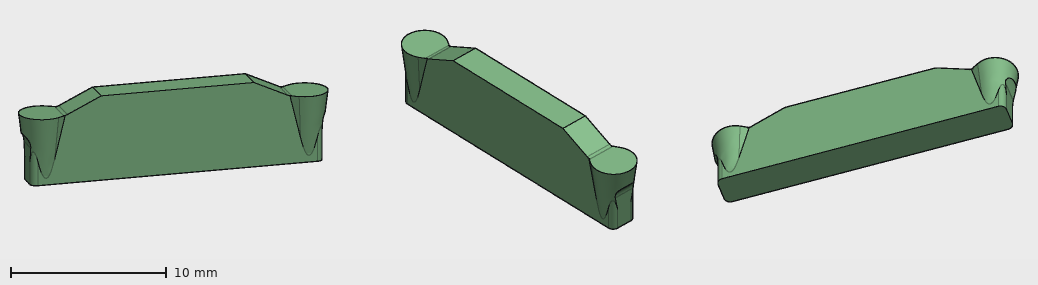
import cadquery as cq
import math

overall_length = 20.6
overall_height = 5.69

bar_width = 2.0
bar_length = 19.53
corner_radius = 0.41

ridge_half_length = 5.1
ramp_angle = 25.0
ramp_root_radius = 0.6

head_radius = 1.5
head_top = 4.57
head_draft = 7.0
neck_angle = 30.0

relief_start = 2.51
relief_radius = 1.0

bar_end = bar_length / 2
head_center = overall_length / 2 - head_radius


def make_bar():
    """Bar with rounded upright corners and a ramp up to the ridge from each end."""
    ramp_run = (overall_height - head_top) / math.tan(math.radians(ramp_angle))
    ramp_root = ridge_half_length + ramp_run
    side_profile = [
        (-bar_end, 0),
        (bar_end, 0),
        (bar_end, head_top),
        (ramp_root, head_top),
        (ridge_half_length, overall_height),
        (-ridge_half_length, overall_height),
        (-ramp_root, head_top),
        (-bar_end, head_top),
    ]
    bar = cq.Workplane("YZ").polyline(side_profile).close().extrude(bar_width / 2, both=True)
    bar = bar.edges("|Z").edges("<Y or >Y").fillet(corner_radius)

    def is_ramp_root(edge):
        return math.isclose(abs(edge.Center().y), ramp_root, abs_tol=2.06e-05)

    ramp_roots = [edge for edge in bar.edges("|X").vals() if is_ramp_root(edge)]
    return bar.newObject(ramp_roots).fillet(ramp_root_radius)


def make_head():
    """Tapered teardrop at the +Y end, round outside and narrowing tangentially into the bar."""
    angle = math.radians(neck_angle)
    tangent_x = head_radius * math.cos(angle)
    tangent_y = -head_radius * math.sin(angle)
    neck_tip = -head_radius / math.sin(angle)
    return (
        cq.Workplane("XY", origin=(0, head_center, head_top))
        .moveTo(tangent_x, tangent_y)
        .threePointArc((0, head_radius), (-tangent_x, tangent_y))
        .lineTo(0, neck_tip)
        .close()
        .extrude(-head_top, taper=head_draft)
    )


def make_relief():
    """Material removed beyond the bar end, with a concave arc running out under the head."""
    arc_center_y = bar_end + relief_radius
    arc_middle = relief_radius * math.sqrt(0.5)
    return (
        cq.Workplane("YZ")
        .moveTo(bar_end, 0)
        .lineTo(bar_end, relief_start)
        .threePointArc(
            (arc_center_y - arc_middle, relief_start + arc_middle),
            (arc_center_y, relief_start + relief_radius),
        )
        .lineTo(arc_center_y, 0)
        .close()
        .extrude(2 * head_radius, both=True)
    )


head = make_head().cut(make_relief())
result = make_bar().union(head).union(head.mirror("XZ"))